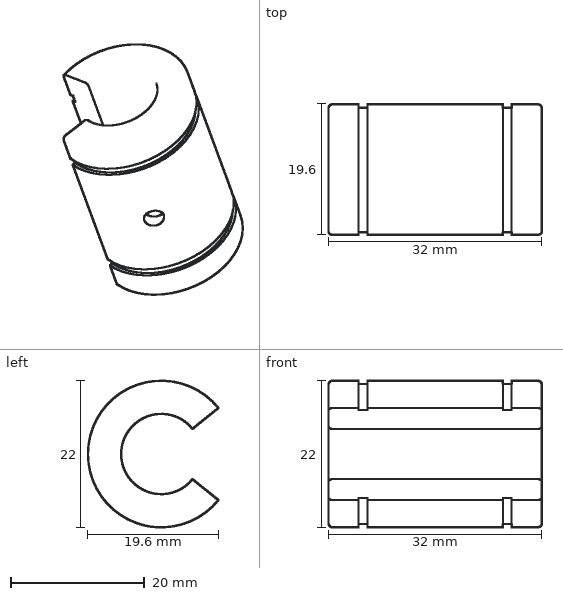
import cadquery as cq
import math

length = 32.0
outer_diameter = 22.0
bore_diameter = 12.0
rim_fillet = 0.65
opening_angle = 77.6

groove_diameter = 21.0
groove_width = 1.3
groove_span = 22.9

hole_diameter = 3.0
hole_depth = 2.0
hole_offset = 1.35

outer_radius = outer_diameter / 2
cut_margin = 1.0


def make_tube():
    """Tube centred on the origin with rounded end edges."""
    return (
        cq.Workplane("YZ")
        .circle(outer_radius)
        .circle(bore_diameter / 2)
        .extrude(length / 2, both=True)
        .faces("<X or >X")
        .edges()
        .fillet(rim_fillet)
    )


def make_groove(center_x):
    """Ring that cuts one groove centred at center_x."""
    return (
        cq.Workplane("YZ", origin=(center_x, 0, 0))
        .circle(outer_radius + cut_margin)
        .circle(groove_diameter / 2)
        .extrude(groove_width / 2, both=True)
    )


def make_opening():
    """Wedge with its tip on the sleeve axis, widening toward -Y."""
    wedge_depth = outer_radius + cut_margin
    half_height = wedge_depth * math.tan(math.radians(opening_angle / 2))
    return (
        cq.Workplane("YZ")
        .moveTo(0, 0)
        .lineTo(-wedge_depth, half_height)
        .lineTo(-wedge_depth, -half_height)
        .close()
        .extrude(length / 2 + cut_margin, both=True)
    )


def make_locating_hole():
    """Vertical cylinder entering the underside at mid-length."""
    return (
        cq.Workplane("XY", origin=(0, hole_offset, -outer_radius))
        .circle(hole_diameter / 2)
        .extrude(hole_depth)
    )


result = make_tube()
groove_center = (groove_span - groove_width) / 2
for side in (-1, 1):
    result = result.cut(make_groove(side * groove_center))
result = result.cut(make_opening())
result = result.cut(make_locating_hole())